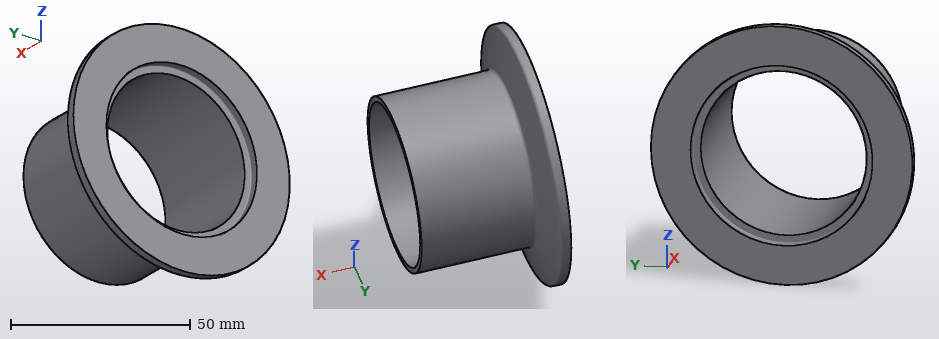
import cadquery as cq
import math

flange_radius = 37.5
length = 40.0
tube_radius = 25.4
bore_radius = 23.8

rim_width = 2.3
cone_angle = math.radians(15)
rim_round = 1.0
neck_round = 0.75

recess_radius = 26.1
recess_depth = 2.6
recess_floor_round = 0.3

rim_corner_x = rim_width + rim_round * math.tan((math.pi / 2 - cone_angle) / 2)
cone_end_x = rim_corner_x + (flange_radius - tube_radius) * math.tan(cone_angle)
edge_tolerance = 0.1


def ring_edge(x, radius):
    """Select the circular edge of the given radius at position x."""
    return cq.selectors.BoxSelector(
        (x - edge_tolerance, -radius - edge_tolerance, -radius - edge_tolerance),
        (x + edge_tolerance, radius + edge_tolerance, radius + edge_tolerance),
        boundingbox=True,
    )


body = (
    cq.Workplane("XY")
    .polyline([
        (0, 0),
        (0, flange_radius),
        (rim_corner_x, flange_radius),
        (cone_end_x, tube_radius),
        (length, tube_radius),
        (length, 0),
    ])
    .close()
    .revolve(360, (0, 0, 0), (1, 0, 0))
)
body = body.edges(ring_edge(rim_corner_x, flange_radius)).fillet(rim_round)
body = body.edges(ring_edge(cone_end_x, tube_radius)).fillet(neck_round)

bore = cq.Workplane("YZ").circle(bore_radius).extrude(length)
recess = cq.Workplane("YZ").circle(recess_radius).extrude(recess_depth)
recess = recess.edges(">X").fillet(recess_floor_round)

result = body.cut(bore).cut(recess)